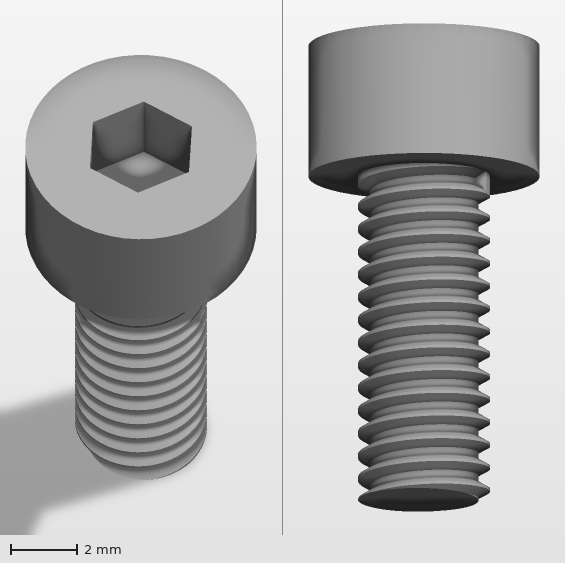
import cadquery as cq
import math

total_length = 14.0
head_diameter = 7.0
head_height = total_length * 2 / 7
shank_length = total_length - head_height

socket_across_flats = head_diameter * 3 / 7
socket_depth = socket_across_flats * 5 / 6

major_radius = head_diameter * 2 / 7
root_radius = 1.65
pitch = 0.7
crest_flat = pitch / 8
flank_angle = 30.0
groove_turns = 15
groove_end_angle = 140.0
cutter_overhang = 0.04


def make_head():
    head = (
        cq.Workplane("XY", origin=(0, 0, shank_length))
        .circle(head_diameter / 2)
        .extrude(head_height)
    )
    corner_diameter = socket_across_flats / math.cos(math.radians(30))
    socket = (
        cq.Workplane("XY", origin=(0, 0, total_length))
        .transformed(rotate=(0, 0, 90))
        .polygon(6, corner_diameter)
        .extrude(-socket_depth)
    )
    return head.cut(socket)


def make_groove():
    """Helical V groove with a flat root, starting below the tip."""
    centre_at_end_angle = pitch / 2 + pitch * groove_end_angle / 360
    full_turns = math.floor((shank_length - centre_at_end_angle) / pitch)
    end_height = centre_at_end_angle + full_turns * pitch
    start_height = end_height - groove_turns * pitch

    flank_slope = math.tan(math.radians(flank_angle))
    outer_radius = major_radius + cutter_overhang
    half_mouth = (pitch - crest_flat) / 2 + cutter_overhang * flank_slope
    half_root = half_mouth - (outer_radius - root_radius) * flank_slope

    helix = cq.Wire.makeHelix(pitch, groove_turns * pitch, root_radius)
    groove = (
        cq.Workplane("XZ")
        .polyline([
            (root_radius, -half_root),
            (outer_radius, -half_mouth),
            (outer_radius, half_mouth),
            (root_radius, half_root),
        ])
        .close()
        .sweep(cq.Workplane(helix), isFrenet=True)
    )
    return groove.rotate((0, 0, 0), (0, 0, 1), groove_end_angle).translate((0, 0, start_height))


shank = cq.Workplane("XY").circle(major_radius).extrude(shank_length)
result = shank.cut(make_groove()).union(make_head())